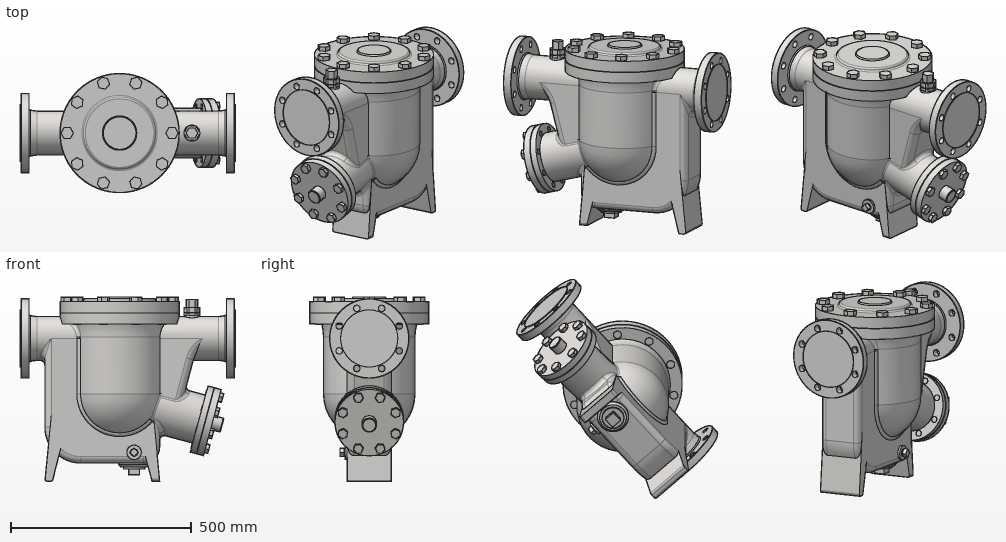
import cadquery as cq
import math

pipe_radius = 61.0
inlet_face_x = -275.0
outlet_face_x = 320.0
pipe_flange_radius = 110.0
pipe_flange_thickness = 23.0
pipe_flange_edge = 1.0
raised_face_radius = 79.0
raised_face_height = 2.0
pipe_hub_length = 22.0
pipe_hub_radius = 66.0
pipe_hub_waist = 63.5
pipe_hub_foot = 4.0
pipe_hole_diameter = 18.0
pipe_hole_circle = 180.0
pipe_hole_count = 8

vessel_radius = 127.0
vessel_dome_z = -153.0
neck_bottom_z = 4.0
neck_top_radius = 132.0
cover_flange_radius = 165.0
vessel_flange_bottom_z = 40.0
flange_joint_z = 71.0
joint_groove = 1.0
cover_top_z = 102.0
crown_radius = 100.0
crown_foot_fillet = 4.0
crown_round = 5.0
crown_top_z = cover_top_z + crown_foot_fillet + crown_round
cap_radius = 47.5
cap_top_z = 115.0
cap_chamfer = 2.5

cover_bolt_count = 10
cover_bolt_circle = 290.0
cover_bolt_flats = 30.0
cover_bolt_head = 12.0
cover_bolt_diameter = 22.0
bolt_end_stickout = 1.0

box_half_width = 61.0
box_left_x = -207.0
box_right_x = 111.0
box_bottom_z = -345.0
box_edge_round = 18.0
box_left_corner = 100.0
box_right_corner = 45.0
vessel_fillet = 12.0
dome_fillet_angle = 140.0
inlet_fillet = 13.0
blend_gap = 4.0

nozzle_tilt = 15.0
nozzle_face = (219.8, 0.0, -223.0)
nozzle_radius = 69.0
nozzle_length = 150.0
nozzle_fillet = 12.0
nozzle_vessel_fillet = 6.0
blend_margin = 1.0
nozzle_flange_radius = 95.0
nozzle_flange_thickness = 18.0
nozzle_cover_thickness = 20.0
nozzle_bolt_count = 8
nozzle_bolt_circle = 158.0
nozzle_bolt_flats = 24.0
nozzle_bolt_head = 10.0
nozzle_bolt_diameter = 16.0
knob_radius = 20.0
knob_length = 28.0
knob_edge = 2.0

shoulder_setback = 57.5
shoulder_round = 20.0
shoulder_flare = 65.0
shoulder_flare_start = 154.0
shoulder_embed = 20.0
shoulder_length = 120.0

foot_bottom_z = -395.0
foot_round = 6.0
foot_sole = 21.5
left_foot_outer_top = (-188.0, -205.0)
left_foot_inner_top = (-163.0, -305.0)
right_foot_outer_top = (95.0, -225.0)
right_foot_inner_top = (71.0, -325.0)

plug_x = 40.0
side_plug_z = -315.0
side_boss_diameter = 40.0
side_boss_height = 6.0
side_neck_diameter = 20.0
side_neck_length = 2.5
side_head_diagonal = 24.0
side_head_length = 12.0
drain_boss_top_radius = 43.0
drain_boss_bottom_radius = 37.0
drain_boss_height = 10.5
drain_boss_lip = 4.0
drain_collar_diameter = 60.0
drain_collar_height = 6.0
drain_head_size = 30.0
drain_head_length = 16.0
vent_x = 200.0
vent_boss_diameter = 44.0
vent_joint_z = 71.0
vent_boss_top_z = 63.0
vent_fitting_flats = 41.0
vent_fitting_top_z = 85.5
vent_head_corners = 32.5
vent_head_top_z = 108.0

edge_tolerance = 0.05


def hexagon(plane, across_flats, height):
    """Hexagonal prism with a corner on the plane's x axis."""
    across_corners = across_flats / math.cos(math.pi / 6)
    return plane.polygon(6, across_corners).extrude(height)


def pipe_with_flanges():
    pipe = cq.Workplane("YZ", origin=(inlet_face_x, 0, 0)).circle(pipe_radius)
    pipe = pipe.extrude(outlet_face_x - inlet_face_x)
    for face_x, direction in ((inlet_face_x, 1), (outlet_face_x, -1)):
        front = face_x + direction * raised_face_height
        back = front + direction * pipe_flange_thickness
        hub_end = back + direction * pipe_hub_length
        hub_foot = back + direction * pipe_hub_foot
        edge = direction * pipe_flange_edge
        profile = (
            cq.Workplane("XY")
            .moveTo(face_x, 0)
            .lineTo(face_x, raised_face_radius)
            .lineTo(front, raised_face_radius)
            .lineTo(front, pipe_flange_radius - pipe_flange_edge)
            .lineTo(front + edge, pipe_flange_radius)
            .lineTo(back - edge, pipe_flange_radius)
            .lineTo(back, pipe_flange_radius - pipe_flange_edge)
            .lineTo(back, pipe_hub_radius)
            .lineTo(hub_foot, pipe_hub_waist)
            .lineTo(hub_end, pipe_radius)
            .lineTo(hub_end, 0)
            .close()
        )
        pipe = pipe.union(profile.revolve(360, (0, 0, 0), (1, 0, 0)))
        holes = (
            cq.Workplane("YZ", origin=(front, 0, 0))
            .polarArray(pipe_hole_circle / 2, 180 / pipe_hole_count, 360, pipe_hole_count)
            .circle(pipe_hole_diameter / 2)
            .extrude(direction * pipe_flange_thickness)
        )
        pipe = pipe.cut(holes)
    return pipe


def vessel():
    neck_height = vessel_flange_bottom_z - neck_bottom_z
    neck_flare = neck_top_radius - vessel_radius
    neck_arc = (neck_height**2 + neck_flare**2) / (2 * neck_flare)
    half_angle = math.asin(neck_height / neck_arc) / 2
    neck_mid = (
        vessel_radius + neck_arc * (1 - math.cos(half_angle)),
        neck_bottom_z + neck_arc * math.sin(half_angle),
    )
    diagonal = math.sqrt(0.5)
    profile = (
        cq.Workplane("XZ")
        .moveTo(0, vessel_dome_z - vessel_radius)
        .threePointArc(
            (vessel_radius * diagonal, vessel_dome_z - vessel_radius * diagonal),
            (vessel_radius, vessel_dome_z),
        )
        .lineTo(vessel_radius, neck_bottom_z)
        .threePointArc(neck_mid, (neck_top_radius, vessel_flange_bottom_z))
        .lineTo(cover_flange_radius, vessel_flange_bottom_z)
        .lineTo(cover_flange_radius, flange_joint_z - joint_groove)
        .lineTo(cover_flange_radius - joint_groove, flange_joint_z - joint_groove)
        .lineTo(cover_flange_radius - joint_groove, flange_joint_z)
        .lineTo(cover_flange_radius, flange_joint_z)
        .lineTo(cover_flange_radius, cover_top_z)
        .lineTo(crown_radius + crown_foot_fillet, cover_top_z)
        .radiusArc((crown_radius, cover_top_z + crown_foot_fillet), crown_foot_fillet)
        .radiusArc((crown_radius - crown_round, crown_top_z), -crown_round)
        .lineTo(cap_radius, crown_top_z)
        .lineTo(cap_radius - cap_chamfer, cap_top_z)
        .lineTo(0, cap_top_z)
        .close()
    )
    return profile.revolve(360, (0, 0, 0), (0, 1, 0))


def cover_bolts():
    bolts = cq.Workplane("XY")
    shank_bottom = vessel_flange_bottom_z - bolt_end_stickout
    for index in range(cover_bolt_count):
        head = hexagon(cq.Workplane("XY", origin=(0, 0, cover_top_z)), cover_bolt_flats, cover_bolt_head)
        shank = (
            cq.Workplane("XY", origin=(0, 0, shank_bottom))
            .circle(cover_bolt_diameter / 2)
            .extrude(cover_top_z - shank_bottom)
        )
        bolt = head.union(shank).translate((cover_bolt_circle / 2, 0, 0))
        bolts = bolts.union(bolt.rotate((0, 0, 0), (0, 0, 1), index * 360 / cover_bolt_count))
    return bolts


tilt = math.radians(nozzle_tilt)
axis_x = math.cos(tilt)
axis_z = -math.sin(tilt)


def on_nozzle(along, across=0.0):
    """X, Z of a point measured along the nozzle axis and upward across it."""
    x = nozzle_face[0] + along * axis_x - across * axis_z
    z = nozzle_face[2] + along * axis_z + across * axis_x
    return x, z


def nozzle_plane(along):
    x, z = on_nozzle(along)
    return cq.Workplane(cq.Plane(origin=(x, 0, z), xDir=(-axis_z, 0, axis_x), normal=(axis_x, 0, axis_z)))


def main_box():
    """Housing from the left wall to the right wall, rounded all round except at the top."""
    solid = (
        cq.Workplane("XZ", origin=(0, -box_half_width, 0))
        .moveTo(box_left_x, 0)
        .lineTo(box_left_x, box_bottom_z + box_left_corner)
        .radiusArc((box_left_x + box_left_corner, box_bottom_z), -box_left_corner)
        .lineTo(box_right_x - box_right_corner, box_bottom_z)
        .radiusArc((box_right_x, box_bottom_z + box_right_corner), -box_right_corner)
        .lineTo(box_right_x, 0)
        .close()
        .extrude(-2 * box_half_width)
    )
    return solid.faces("|Y").edges("not >Z").fillet(box_edge_round)


def shoulder_box():
    """Housing above the nozzle, its end wall square to the nozzle and flaring into the outlet pipe."""
    wall_foot = on_nozzle(-shoulder_setback, -shoulder_embed)
    inner_foot = on_nozzle(-shoulder_setback - shoulder_length, -shoulder_embed)
    flare_start = on_nozzle(-shoulder_setback, shoulder_flare_start)
    flare_centre = on_nozzle(shoulder_flare - shoulder_setback, shoulder_flare_start)
    flare_end = (flare_centre[0], flare_centre[1] + shoulder_flare)
    trim_height = 2 * shoulder_round
    solid = (
        cq.Workplane("XZ", origin=(0, -box_half_width, 0))
        .moveTo(*wall_foot)
        .lineTo(*flare_start)
        .radiusArc(flare_end, shoulder_flare)
        .lineTo(flare_end[0], trim_height)
        .lineTo(inner_foot[0], trim_height)
        .lineTo(*inner_foot)
        .close()
        .extrude(-2 * box_half_width)
    )
    solid = solid.faces("|Y").edges().fillet(shoulder_round)
    above_pipe_centre = cq.Workplane("XY").box(
        2 * outlet_face_x, 4 * box_half_width, 2 * trim_height, centered=(True, True, False)
    )
    return solid.cut(above_pipe_centre)


def vessel_fillets():
    """Concave fillet along the left side and round the dome, where the vessel meets the flat walls."""
    centre_y = box_half_width + vessel_fillet
    centre_distance = vessel_radius + vessel_fillet
    centre_x = math.sqrt(centre_distance**2 - centre_y**2)
    on_vessel = (
        -centre_x * vessel_radius / centre_distance,
        -centre_y * vessel_radius / centre_distance,
    )
    root_y = -box_half_width + vessel_fillet / 2
    section = cq.Sketch().face(
        cq.Workplane("XY")
        .moveTo(-centre_x, -box_half_width)
        .radiusArc(on_vessel, -vessel_fillet)
        .lineTo(on_vessel[0], root_y)
        .lineTo(-centre_x, root_y)
        .close()
        .val()
    )
    dome_level = cq.Workplane("XY", origin=(0, 0, vessel_dome_z))
    straight = dome_level.placeSketch(section).extrude(-vessel_dome_z)
    around_dome = dome_level.placeSketch(section).revolve(dome_fillet_angle, (0, 0, 0), (0, -1, 0))
    front = straight.union(around_dome)
    return front.union(front.mirror("XZ"))


def is_pipe_seam(edge):
    """True for an edge that runs up or down the inlet pipe surface rather than along it."""
    distances = [math.hypot(point.y, point.z) for point in edge.positions((0, 0.5, 1))]
    on_pipe = all(abs(distance - pipe_radius) < edge_tolerance for distance in distances)
    box = edge.BoundingBox()
    return on_pipe and box.zlen > edge_tolerance and box.xmin > inlet_face_x + edge_tolerance


def inlet_corner_blend(body, end_x, bottom_z, top_z):
    """Fillet where the inlet pipe runs into body, between two heights and left of end_x."""
    length = end_x - inlet_face_x
    pipe = cq.Workplane("YZ", origin=(inlet_face_x, 0, 0)).circle(pipe_radius).extrude(length)
    zone = cq.Workplane("XY", origin=(inlet_face_x, 0, bottom_z))
    zone = zone.box(length, 2 * cover_flange_radius, top_z - bottom_z, (False, True, False))
    corner = body.union(pipe).intersect(zone)
    seams = [
        edge
        for edge in corner.edges().vals()
        if is_pipe_seam(edge) and edge.BoundingBox().xmax < end_x - edge_tolerance
    ]
    return corner.newObject(seams).fillet(inlet_fillet)


def inlet_blends():
    """Fillets between the inlet pipe and the left wall below it, and the vessel neck above its centre."""
    under_pipe = inlet_corner_blend(main_box(), -vessel_radius - box_edge_round, -box_left_corner, -blend_gap)
    neck = inlet_corner_blend(vessel(), -vessel_radius / 2, neck_bottom_z, vessel_flange_bottom_z)
    return under_pipe.union(neck)


def nozzle():
    return nozzle_plane(-nozzle_length).circle(nozzle_radius).extrude(nozzle_length)


def is_nozzle_seam(edge):
    """True for an edge where the nozzle barrel runs into another surface."""
    for point in edge.positions((0, 0.25, 0.5, 0.75, 1)):
        offset_x = point.x - nozzle_face[0]
        offset_z = point.z - nozzle_face[2]
        along = offset_x * axis_x + offset_z * axis_z
        across = offset_z * axis_x - offset_x * axis_z
        on_barrel = abs(math.hypot(across, point.y) - nozzle_radius) < edge_tolerance
        if not on_barrel or along > -edge_tolerance:
            return False
    return True


def is_vessel_seam(edge):
    """True for a nozzle seam on the vessel wall or dome, outside the flat sides of the housing."""
    middle = edge.positionAt(0.5)
    depth_in_dome = min(0, middle.z - vessel_dome_z)
    distance = math.hypot(middle.x, middle.y, depth_in_dome)
    on_vessel = abs(distance - vessel_radius) < edge_tolerance
    return on_vessel and abs(middle.y) > box_half_width + edge_tolerance


def nozzle_seams(body, on_vessel):
    seams = [edge for edge in body.edges().vals() if is_nozzle_seam(edge)]
    return body.newObject([edge for edge in seams if is_vessel_seam(edge) == on_vessel])


def housing_with_nozzle():
    """Housing blended into the nozzle; the vessel joins in full once its lower part is blended."""
    below_blend = cq.Workplane("XY", origin=(0, 0, vessel_dome_z + blend_margin))
    below_blend = below_blend.circle(vessel_radius + blend_margin).extrude(2 * box_bottom_z)
    body = main_box().union(shoulder_box()).union(vessel().intersect(below_blend))
    body = body.union(vessel_fillets()).union(nozzle())
    body = nozzle_seams(body, False).fillet(nozzle_fillet)
    body = nozzle_seams(body, True).fillet(nozzle_vessel_fillet)
    return body.union(vessel())


def nozzle_disc(start, radius, length):
    return nozzle_plane(start).circle(radius).extrude(length)


def nozzle_cover():
    """Bolted flange pair with a central knob; a shallow groove marks the joint."""
    outer_face = nozzle_flange_thickness + nozzle_cover_thickness
    groove_start = nozzle_flange_thickness - joint_groove / 2
    flange = nozzle_disc(0, nozzle_flange_radius, groove_start)
    gasket = nozzle_disc(groove_start, nozzle_flange_radius - joint_groove, joint_groove)
    cover_start = groove_start + joint_groove
    cover = nozzle_disc(cover_start, nozzle_flange_radius, outer_face - cover_start)
    knob = nozzle_disc(outer_face, knob_radius, knob_length).faces(">X").edges().chamfer(knob_edge)
    assembly = flange.union(gasket).union(cover).union(knob)

    shank_length = outer_face + bolt_end_stickout
    for index in range(nozzle_bolt_count):
        turn = (0, 0, (index + 0.5) * 360 / nozzle_bolt_count)
        head_place = nozzle_plane(outer_face).transformed(rotate=turn).center(nozzle_bolt_circle / 2, 0)
        shank_place = nozzle_plane(-bolt_end_stickout).transformed(rotate=turn)
        head = hexagon(head_place, nozzle_bolt_flats, nozzle_bolt_head)
        shank = shank_place.center(nozzle_bolt_circle / 2, 0).circle(nozzle_bolt_diameter / 2)
        assembly = assembly.union(head).union(shank.extrude(shank_length))
    return assembly


def foot(outline):
    solid = cq.Workplane("XZ", origin=(0, -box_half_width, 0)).polyline(outline).close()
    return solid.extrude(-2 * box_half_width)


def left_foot():
    outline = [
        left_foot_outer_top,
        (box_left_x, foot_bottom_z),
        (box_left_x + foot_sole, foot_bottom_z),
        left_foot_inner_top,
    ]
    return foot(outline).faces("<Z").edges("|Y").fillet(foot_round)


def right_foot():
    outline = [
        right_foot_outer_top,
        (box_right_x, foot_bottom_z),
        (box_right_x - foot_sole, foot_bottom_z),
        right_foot_inner_top,
    ]
    return foot(outline).faces("<Z").edges("|X").fillet(foot_round)


def side_plug():
    face_y = -box_half_width
    boss_end = face_y - side_boss_height
    neck_end = boss_end - side_neck_length
    centre = (plug_x, side_plug_z)
    boss = cq.Workplane("XZ", origin=(0, face_y + box_edge_round, 0)).center(*centre)
    boss = boss.circle(side_boss_diameter / 2).extrude(side_boss_height + box_edge_round)
    neck = cq.Workplane("XZ", origin=(0, boss_end, 0)).center(*centre)
    neck = neck.circle(side_neck_diameter / 2).extrude(side_neck_length)
    head = cq.Workplane("XZ", origin=(0, neck_end, 0)).center(*centre)
    head = head.polygon(4, side_head_diagonal).extrude(side_head_length)
    return boss.union(neck).union(head)


def drain_plug():
    boss_end = box_bottom_z - drain_boss_height
    cone_top_z = box_bottom_z - drain_boss_lip
    profile = (
        cq.Workplane("XZ", origin=(plug_x, 0, 0))
        .moveTo(0, box_bottom_z + box_edge_round)
        .lineTo(drain_boss_bottom_radius, box_bottom_z + box_edge_round)
        .lineTo(drain_boss_top_radius, box_bottom_z)
        .lineTo(drain_boss_top_radius, cone_top_z)
        .lineTo(drain_boss_bottom_radius, boss_end)
        .lineTo(0, boss_end)
        .close()
    )
    boss = profile.revolve(360, (0, 0, 0), (0, 1, 0))
    collar = cq.Workplane("XY", origin=(plug_x, 0, boss_end)).circle(drain_collar_diameter / 2)
    collar = collar.extrude(-drain_collar_height)
    head = cq.Workplane("XY", origin=(plug_x, 0, boss_end - drain_collar_height))
    head = head.rect(drain_head_size, drain_head_size).extrude(-drain_head_length)
    return boss.union(collar).union(head)


def vent_plug():
    """Hexagon-headed plug in a fitting with rounded hexagon corners, split by a shallow joint groove."""
    axis = cq.Workplane("XY", origin=(vent_x, 0, 0))
    stem = axis.circle(vent_boss_diameter / 2).extrude(vent_boss_top_z)
    fitting_start = axis.workplane(offset=vent_boss_top_z)
    fitting = hexagon(fitting_start, vent_fitting_flats, vent_fitting_top_z - vent_boss_top_z)
    rounding = fitting_start.circle(vent_boss_diameter / 2).extrude(vent_fitting_top_z - vent_boss_top_z)
    groove = (
        axis.workplane(offset=vent_joint_z - joint_groove / 2)
        .circle(vent_boss_diameter)
        .circle(vent_fitting_flats / 2 - joint_groove)
        .extrude(joint_groove)
    )
    head = axis.workplane(offset=vent_fitting_top_z).polygon(6, vent_head_corners)
    head = head.extrude(vent_head_top_z - vent_fitting_top_z)
    return stem.union(fitting.intersect(rounding).cut(groove)).union(head)


result = housing_with_nozzle().union(pipe_with_flanges()).union(inlet_blends())
for feature in (left_foot(), right_foot(), side_plug(), drain_plug(), vent_plug(), nozzle_cover(), cover_bolts()):
    result = result.union(feature)